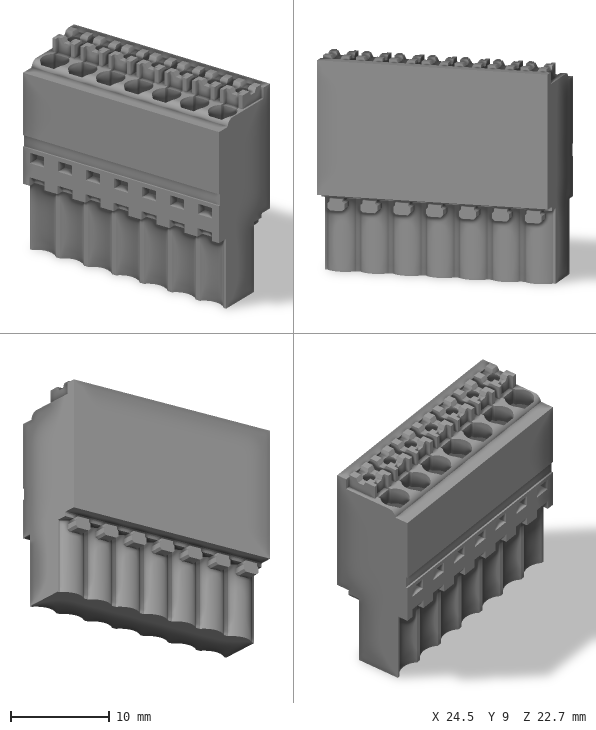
import cadquery as cq


POLE_COUNT = 7
PITCH = 3.5
ENTRY_SHIFT = 0.1
NOTCH_SHIFT = 0.04

WIDTH = 24.54
DEPTH = 9.0
BODY_BOTTOM = 7.87
BACK_TOP = 22.4
DECK_TOP = 21.17
BACK_WALL_FRONT = 7.85
FRONT_SILL_TOP = 20.4
DECK_ROUND_RADIUS = 0.85
DECK_ROUND_START = 2.37
REAR_STEP_HEIGHT = 0.47
REAR_STEP_FRONT = 7.48
REAR_STEP_CHAMFER = 0.1

GROOVE_BOTTOM = 12.05
GROOVE_TOP = 13.37
GROOVE_DEPTH = 0.2

WINDOW_WIDTH = 1.74
WINDOW_BOTTOM = 10.43
WINDOW_TOP = 11.6
WINDOW_DEPTH = 1.2
SKIRT_NOTCH_WIDTH = 1.84
SKIRT_NOTCH_TOP = 8.83
SKIRT_NOTCH_DEPTH = 0.85

PLUG_FRONT = 1.23
PLUG_BACK = 6.17
CHANNEL_WIDTH = 3.0
CHANNEL_DEPTH = 0.65
RIB_HEIGHT = 0.66

TAB_BACK = 8.18
TAB_BOTTOM = 6.63
TAB_BODY_BOTTOM = 6.87
TAB_BODY_TOP = 7.4
TAB_NECK_BOTTOM = 7.6
TAB_HALF_BASE = 0.65
TAB_HALF_BODY = 0.9
TAB_HALF_NECK = 0.7

ENTRY_RADIUS = 1.5
ENTRY_CENTRE = 3.0
ENTRY_FRONT = 1.73
ENTRY_DEPTH = 1.9
SLOT_WIDTH = 1.9

BUTTON_WIDTH = 2.8
BUTTON_FRONT = 4.53
BUTTON_BACK = 7.78
BUTTON_TOP = 22.7
BUTTON_SEAT_DEPTH = 0.2
BUTTON_BOTTOM = DECK_TOP - BUTTON_SEAT_DEPTH
BUTTON_NOTCH_DEPTH = 0.5
BUTTON_HOLE_RADIUS = 0.66
BUTTON_CENTRE = 6.33
CROSS_TOP_WIDTH = 1.2
CROSS_FLOOR_WIDTH = 0.68
CROSS_DEPTH = 0.48

pole_positions = [(i - (POLE_COUNT - 1) / 2) * PITCH for i in range(POLE_COUNT)]
entry_positions = [x + ENTRY_SHIFT for x in pole_positions]


def block(x_centre, width, y_min, y_max, z_min, z_max):
    """Upright box centred on x_centre."""
    box = cq.Workplane("XY").box(width, y_max - y_min, z_max - z_min, centered=(True, False, False))
    return box.translate((x_centre, y_min, z_min))


def round_segment(x_centre, chord_y, height):
    """Vertical prism over the plug height: a circular segment rising toward +Y from its chord."""
    half = CHANNEL_WIDTH / 2
    return (
        cq.Workplane("XY")
        .moveTo(x_centre - half, chord_y)
        .threePointArc((x_centre, chord_y + height), (x_centre + half, chord_y))
        .close()
        .extrude(BODY_BOTTOM)
    )


def make_body():
    """Side profile of the housing above the plug, extruded across the width."""
    round_centre_z = DECK_TOP - DECK_ROUND_RADIUS
    sill_rise = FRONT_SILL_TOP - round_centre_z
    round_end_y = DECK_ROUND_START - (DECK_ROUND_RADIUS**2 - sill_rise**2) ** 0.5
    diagonal = DECK_ROUND_RADIUS * 0.5**0.5
    step_z = BODY_BOTTOM + REAR_STEP_HEIGHT
    return (
        cq.Workplane("YZ")
        .moveTo(0, BODY_BOTTOM)
        .lineTo(0, GROOVE_BOTTOM)
        .lineTo(GROOVE_DEPTH, GROOVE_BOTTOM)
        .lineTo(GROOVE_DEPTH, GROOVE_TOP)
        .lineTo(0, GROOVE_TOP)
        .lineTo(0, FRONT_SILL_TOP)
        .lineTo(round_end_y, FRONT_SILL_TOP)
        .threePointArc(
            (DECK_ROUND_START - diagonal, round_centre_z + diagonal),
            (DECK_ROUND_START, DECK_TOP),
        )
        .lineTo(BACK_WALL_FRONT, DECK_TOP)
        .lineTo(BACK_WALL_FRONT, BACK_TOP)
        .lineTo(DEPTH, BACK_TOP)
        .lineTo(DEPTH, step_z)
        .lineTo(REAR_STEP_FRONT + REAR_STEP_CHAMFER, step_z)
        .lineTo(REAR_STEP_FRONT, step_z - REAR_STEP_CHAMFER)
        .lineTo(REAR_STEP_FRONT, BODY_BOTTOM)
        .close()
        .extrude(WIDTH / 2, both=True)
    )


def coding_tab(x_centre):
    """Tab behind a rib: a narrow neck over a wider body with a tapered base."""
    half_outline = [
        (TAB_HALF_BASE, TAB_BOTTOM),
        (TAB_HALF_BODY, TAB_BODY_BOTTOM),
        (TAB_HALF_BODY, TAB_BODY_TOP),
        (TAB_HALF_NECK, TAB_NECK_BOTTOM),
        (TAB_HALF_NECK, BODY_BOTTOM),
    ]
    mirrored = [(-x, z) for x, z in reversed(half_outline)]
    tab = cq.Workplane("XZ").polyline(half_outline + mirrored).close().extrude(PLUG_BACK - TAB_BACK)
    return tab.translate((x_centre, PLUG_BACK, 0))


def wire_entry(x_centre):
    """Round pocket with a flat front, joined to a straight slot that ends at the button."""
    floor = DECK_TOP - ENTRY_DEPTH
    circle = cq.Workplane("XY", origin=(x_centre, ENTRY_CENTRE, floor)).circle(ENTRY_RADIUS)
    bore = circle.extrude(ENTRY_DEPTH)
    kept = block(x_centre, 2 * ENTRY_RADIUS, ENTRY_FRONT, BUTTON_FRONT, floor, DECK_TOP)
    slot = block(x_centre - NOTCH_SHIFT, SLOT_WIDTH, ENTRY_CENTRE, BUTTON_FRONT, floor, DECK_TOP)
    return bore.intersect(kept).union(slot)


def make_housing():
    """Body and plug with their ribs, tabs, channels, windows, notches, entries and button seats."""
    housing = make_body().union(block(0, WIDTH, PLUG_FRONT, PLUG_BACK, 0, BODY_BOTTOM))
    for x in pole_positions:
        housing = housing.union(round_segment(x, PLUG_BACK, RIB_HEIGHT)).union(coding_tab(x))
        housing = housing.cut(round_segment(x, PLUG_FRONT, CHANNEL_DEPTH))
        housing = housing.cut(block(x, WINDOW_WIDTH, 0, WINDOW_DEPTH, WINDOW_BOTTOM, WINDOW_TOP))
        housing = housing.cut(
            block(x, SKIRT_NOTCH_WIDTH, 0, SKIRT_NOTCH_DEPTH, BODY_BOTTOM, SKIRT_NOTCH_TOP)
        )
    for x in entry_positions:
        seat = block(x, BUTTON_WIDTH, BUTTON_FRONT, BUTTON_BACK, BUTTON_BOTTOM, DECK_TOP)
        housing = housing.cut(wire_entry(x)).cut(seat)
    return housing.solids()


def cross_groove(plane, centre, length):
    """Trapezoidal groove in the top of a button, running along the normal of the plane."""
    floor_z = BUTTON_TOP - CROSS_DEPTH
    outline = [
        (centre - CROSS_TOP_WIDTH / 2, BUTTON_TOP),
        (centre - CROSS_FLOOR_WIDTH / 2, floor_z),
        (centre + CROSS_FLOOR_WIDTH / 2, floor_z),
        (centre + CROSS_TOP_WIDTH / 2, BUTTON_TOP),
    ]
    return cq.Workplane(plane).polyline(outline).close().extrude(length, both=True)


def make_button(x_centre):
    """Button with a notched front, two crossing grooves on top and a through hole."""
    button = block(0, BUTTON_WIDTH, BUTTON_FRONT, BUTTON_BACK, BUTTON_BOTTOM, BUTTON_TOP)
    notch_back = BUTTON_FRONT + BUTTON_NOTCH_DEPTH
    button = button.cut(block(-NOTCH_SHIFT, SLOT_WIDTH, BUTTON_FRONT, notch_back, BUTTON_BOTTOM, BUTTON_TOP))
    button = button.cut(cross_groove("YZ", BUTTON_CENTRE, BUTTON_WIDTH))
    button = button.cut(cross_groove("XZ", 0, DEPTH))
    hole = cq.Workplane("XY", origin=(0, BUTTON_CENTRE, BUTTON_BOTTOM)).circle(BUTTON_HOLE_RADIUS)
    button = button.cut(hole.extrude(BUTTON_TOP - BUTTON_BOTTOM))
    return button.translate((x_centre, 0, 0)).solids()


housing = make_housing()
buttons = [make_button(x) for x in entry_positions]

result = cq.Compound.makeCompound([housing.val(), *[button.val() for button in buttons]])